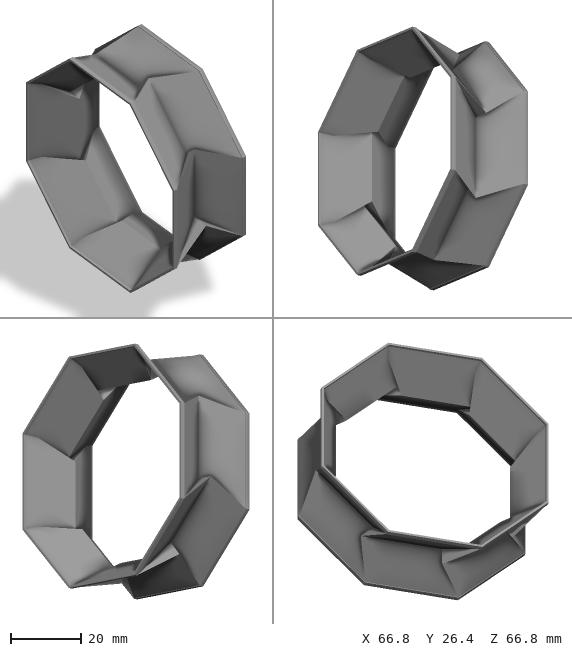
import cadquery as cq
import math

SIDES = 8
WIDTH = 26.4
RIM_APOTHEM = 33.4
RIM_WIDTH = 1.35
WALL = 0.7
RIM_STEP = 0.2
WAIST_APOTHEM = 26.3
WAIST_START = -18.3
WAIST_END = 5.55

half_width = WIDTH / 2
fold_y = half_width - RIM_WIDTH
fold_apothem = RIM_APOTHEM - RIM_STEP
bore_apothem = RIM_APOTHEM - WALL
half_angle = math.pi / SIDES
step_angle = 2 * half_angle


def turned(point, index):
    """Turn a point of the top panel to the panel at the given index, clockwise from -Y."""
    c = math.cos(index * step_angle)
    s = math.sin(index * step_angle)
    return cq.Vector(point.x * c + point.z * s, point.y, point.z * c - point.x * s)


def corner(apothem, y):
    """Right-hand corner of the top side of an octagon."""
    return cq.Vector(apothem * math.tan(half_angle), y, apothem)


def inward_plane(origin, second, third, inside):
    """Normal and offset of the plane one wall thickness towards the inside direction."""
    normal = (second - origin).cross(third - origin).normalized()
    if normal.dot(inside) < 0:
        normal = normal * -1
    return normal, normal.dot(origin) + WALL


def meet(first, second, third):
    """Common point of three planes."""
    (n1, d1), (n2, d2), (n3, d3) = first, second, third
    total = n2.cross(n3) * d1 + n3.cross(n1) * d2 + n1.cross(n2) * d3
    return total * (1 / n1.dot(n2.cross(n3)))


def folded_solid(rim, branch, start, end):
    """Half of a folded body: panels joined by triangular folds, from mid width to the rim.

    rim and branch are the top panel's right corner at the rim and where its fold begins;
    start and end bound its waist edge. When rim and branch coincide, panels are four-sided.
    """
    outlines = [
        [turned(rim, i) for i in range(SIDES)],
        [turned(p, i) for i in range(SIDES) for p in (start, end)],
    ]
    for i in range(SIDES):
        panel = [turned(rim, i - 1), turned(rim, i), turned(end, i), turned(start, i)]
        if branch != rim:
            panel.insert(2, turned(branch, i))
            panel.append(turned(branch, i - 1))
        outlines.append(panel)
        outlines.append([turned(branch, i), turned(end, i), turned(start, i + 1)])
    faces = [cq.Face.makeFromWires(cq.Wire.makePolygon(o, close=True)) for o in outlines]
    return cq.Workplane(cq.Solid.makeSolid(cq.Shell.makeShell(faces)))


def octagon(apothem, start_y, end_y):
    points = [turned(corner(apothem, 0), i) for i in range(SIDES)]
    outline = cq.Workplane("XZ", origin=(0, start_y, 0)).polyline([(p.x, p.z) for p in points])
    return outline.close().extrude(start_y - end_y)


outer_corner = corner(fold_apothem, fold_y)
outer_start = cq.Vector(WAIST_START, 0, WAIST_APOTHEM)
outer_end = cq.Vector(WAIST_END, 0, WAIST_APOTHEM)
outer_body = folded_solid(outer_corner, outer_corner, outer_start, outer_end)

panel_plane = inward_plane(outer_corner, outer_start, outer_end, cq.Vector(0, 0, -1))
next_plane = (turned(panel_plane[0], 1), panel_plane[1])
fold_plane = inward_plane(outer_corner, outer_end, turned(outer_start, 1), cq.Vector(1, 0, 0))
middle_plane = (cq.Vector(0, 1, 0), 0)
bore_plane = (cq.Vector(0, 0, 1), bore_apothem)

inner_corner = meet(panel_plane, next_plane, bore_plane)
inner_branch = meet(panel_plane, next_plane, fold_plane)
inner_end = meet(panel_plane, fold_plane, middle_plane)
inner_start = turned(meet(next_plane, fold_plane, middle_plane), -1)
inner_body = folded_solid(inner_corner, inner_branch, inner_start, inner_end)

half_ring = outer_body.union(octagon(RIM_APOTHEM, fold_y, half_width))
half_ring = half_ring.cut(inner_body).cut(octagon(bore_apothem, inner_corner.y, half_width))
result = half_ring.union(half_ring.mirror("XZ"))